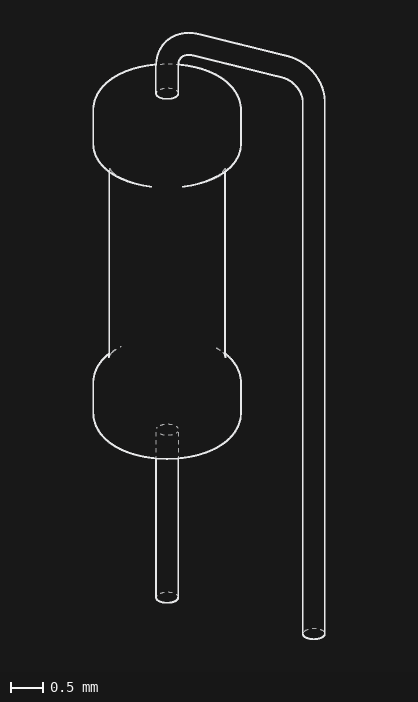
import cadquery as cq
import math

lead_diameter = 0.35
lead_spacing = 2.55
bend_radius = 0.5
total_height = 10.18

cap_diameter = 2.3
barrel_diameter = 1.8
body_bottom = 3.0
body_height = 6.01
cap_corner_radius = 0.31
lower_cap_height = 0.82
lower_neck_height = 0.49
upper_cap_height = 0.9
upper_neck_height = 0.41

cap_radius = cap_diameter / 2
barrel_radius = barrel_diameter / 2
body_top = body_bottom + body_height
lead_top = total_height - lead_diameter / 2


def make_cap(cap_height, neck_height):
    """Cap with its end face at Z = 0, narrowing upward through a neck to the barrel.

    The neck is two equal tangent arcs that meet halfway between cap and barrel.
    """
    neck_step = cap_radius - barrel_radius
    arc_angle = 2 * math.atan(neck_step / neck_height)
    arc_radius = neck_height / 2 / math.sin(arc_angle)
    mid_inset = arc_radius * (1 - math.cos(arc_angle / 2))
    mid_rise = arc_radius * math.sin(arc_angle / 2)
    neck_end = cap_height + neck_height
    profile = (
        cq.Workplane("XZ")
        .lineTo(cap_radius, 0)
        .lineTo(cap_radius, cap_height)
        .threePointArc(
            (cap_radius - mid_inset, cap_height + mid_rise),
            (cap_radius - neck_step / 2, cap_height + neck_height / 2),
        )
        .threePointArc(
            (barrel_radius + mid_inset, neck_end - mid_rise),
            (barrel_radius, neck_end),
        )
        .lineTo(0, neck_end)
        .close()
    )
    cap = profile.revolve(360, (0, 0, 0), (0, 1, 0))
    return cap.faces("<Z").edges().fillet(cap_corner_radius)


def make_body():
    """Join a cap at each end of the cylindrical barrel."""
    lower_cap = make_cap(lower_cap_height, lower_neck_height).translate((0, 0, body_bottom))
    upper_cap = (
        make_cap(upper_cap_height, upper_neck_height)
        .mirror("XY")
        .translate((0, 0, body_top))
    )
    barrel_bottom = body_bottom + lower_cap_height + lower_neck_height
    barrel_top = body_top - upper_cap_height - upper_neck_height
    barrel = (
        cq.Workplane("XY", origin=(0, 0, barrel_bottom))
        .circle(barrel_radius)
        .extrude(barrel_top - barrel_bottom)
    )
    return barrel.union(lower_cap).union(upper_cap)


def make_lead():
    """Sweep the wire up the body axis, across and back down."""
    bend_start = lead_top - bend_radius
    path = (
        cq.Workplane("XZ")
        .lineTo(0, bend_start)
        .tangentArcPoint((bend_radius, lead_top), relative=False)
        .lineTo(lead_spacing - bend_radius, lead_top)
        .tangentArcPoint((lead_spacing, bend_start), relative=False)
        .lineTo(lead_spacing, 0)
    )
    return cq.Workplane("XY").circle(lead_diameter / 2).sweep(path)


result = make_body().union(make_lead())